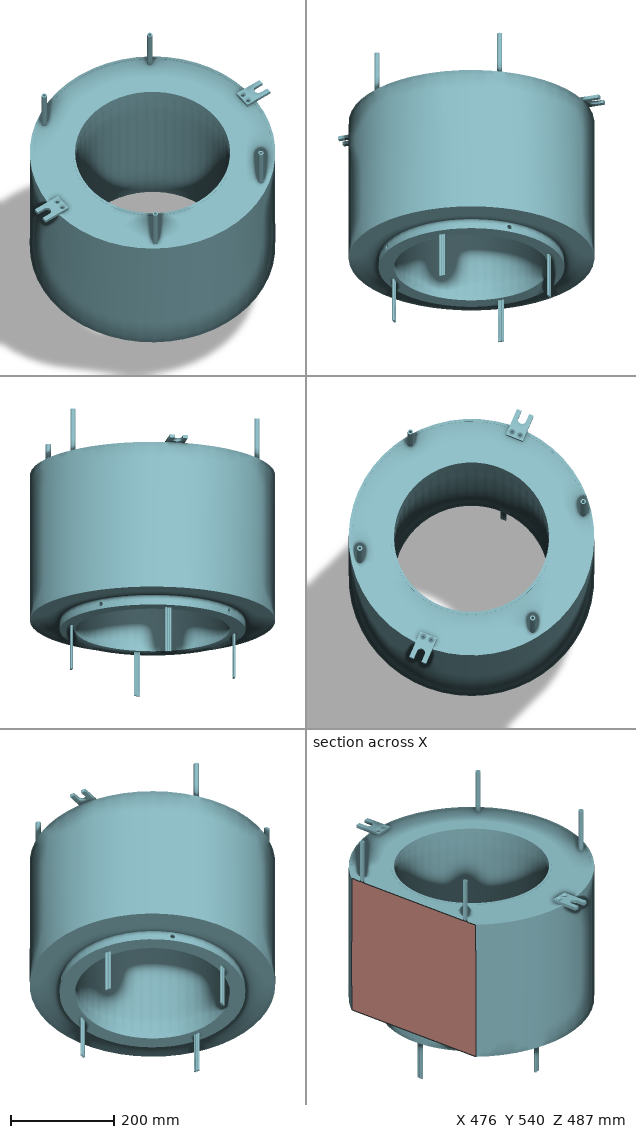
import cadquery as cq

body_diameter = 476.0
body_height = 291.5
bore_diameter = 300.0
casing_wall = 5.5
filling_recess = 0.5

collar_diameter = 359.5
collar_height = 19.5
collar_hole_diameter = 9.0
collar_hole_depth = 8.0

stud_diameter = 10.0
stud_height = 88.0
stud_hole_diameter = 5.5
stud_x = 181.5
stud_y = 127.0

wire_diameter = 4.5
wire_pitch = 4.05
wires_per_terminal = 3
terminal_length = 88.0
terminal_circle_radius = 160.5

lug_tip_y = 270.0
lug_length = 55.0
lug_width = 35.0
lug_thickness = 6.5
slot_width = 16.0
slot_depth = 24.5
screw_spacing = 17.0
screw_edge_distance = 8.0
screw_hole_diameter = 5.5
countersink_diameter = 13.0
countersink_angle = 90

collar_bottom = -body_height - collar_height
overlap = 2.5


def make_body():
    """Hollow drum with a collar below and the filling set slightly below the casing rims."""
    drum = cq.Workplane("XY").circle(body_diameter / 2).extrude(-body_height)
    collar = (
        cq.Workplane("XY")
        .workplane(offset=collar_bottom)
        .circle(collar_diameter / 2)
        .extrude(collar_height)
    )
    bore = (
        cq.Workplane("XY")
        .workplane(offset=collar_bottom)
        .circle(bore_diameter / 2)
        .extrude(body_height + collar_height)
    )
    recess = (
        cq.Workplane("XY")
        .circle(body_diameter / 2 - casing_wall)
        .circle(bore_diameter / 2 + casing_wall)
        .extrude(-filling_recess)
    )
    return drum.union(collar).cut(bore).cut(recess)


def make_collar_hole(angle):
    """Radial blind hole at mid-height of the collar."""
    return (
        cq.Workplane("YZ")
        .workplane(offset=collar_diameter / 2 - collar_hole_depth)
        .center(0, -body_height - collar_height / 2)
        .circle(collar_hole_diameter / 2)
        .extrude(2 * collar_hole_depth)
        .rotate((0, 0, 0), (0, 0, 1), angle)
    )


def make_studs():
    """Four solid round studs, sunk slightly into the filling."""
    return (
        cq.Workplane("XY")
        .workplane(offset=-overlap)
        .rect(2 * stud_x, 2 * stud_y, forConstruction=True)
        .vertices()
        .circle(stud_diameter / 2)
        .extrude(stud_height + overlap)
    )


def make_stud_holes():
    """Holes along the studs, ending level with the casing rims."""
    return (
        cq.Workplane("XY")
        .rect(2 * stud_x, 2 * stud_y, forConstruction=True)
        .vertices()
        .circle(stud_hole_diameter / 2)
        .extrude(stud_height)
    )


def make_terminal(angle):
    """Row of joined wires whose broad side looks outward."""
    return (
        cq.Workplane("XY")
        .workplane(offset=collar_bottom - terminal_length)
        .center(terminal_circle_radius, 0)
        .rarray(wire_pitch, wire_pitch, 1, wires_per_terminal)
        .circle(wire_diameter / 2)
        .extrude(terminal_length + overlap)
        .rotate((0, 0, 0), (0, 0, 1), angle)
    )


def make_lug():
    """Plate on the +Y rim with a seat on the filling, an open round-ended slot and two screw holes."""
    inner_y = lug_tip_y - lug_length
    plate = (
        cq.Workplane("XY")
        .center(0, lug_tip_y - lug_length / 2)
        .rect(lug_width, lug_length)
        .extrude(lug_thickness)
    )
    seat_length = body_diameter / 2 - casing_wall - inner_y
    seat = (
        cq.Workplane("XY")
        .center(0, inner_y + seat_length / 2)
        .rect(lug_width, seat_length)
        .extrude(-filling_recess)
    )
    slot = (
        cq.Workplane("XY")
        .center(0, lug_tip_y)
        .slot2D(2 * slot_depth, slot_width, 90)
        .extrude(lug_thickness)
    )
    return (
        plate.union(seat)
        .cut(slot)
        .faces(">Z")
        .workplane(origin=(0, inner_y + screw_edge_distance, 0))
        .pushPoints([(-screw_spacing / 2, 0), (screw_spacing / 2, 0)])
        .cskHole(screw_hole_diameter, countersink_diameter, countersink_angle)
    )


result = make_body().union(make_studs()).cut(make_stud_holes())
for quarter in range(4):
    result = result.union(make_terminal(90 * quarter))
    result = result.cut(make_collar_hole(45 + 90 * quarter))
for lug_angle in (0, 180):
    result = result.union(make_lug().rotate((0, 0, 0), (0, 0, 1), lug_angle))